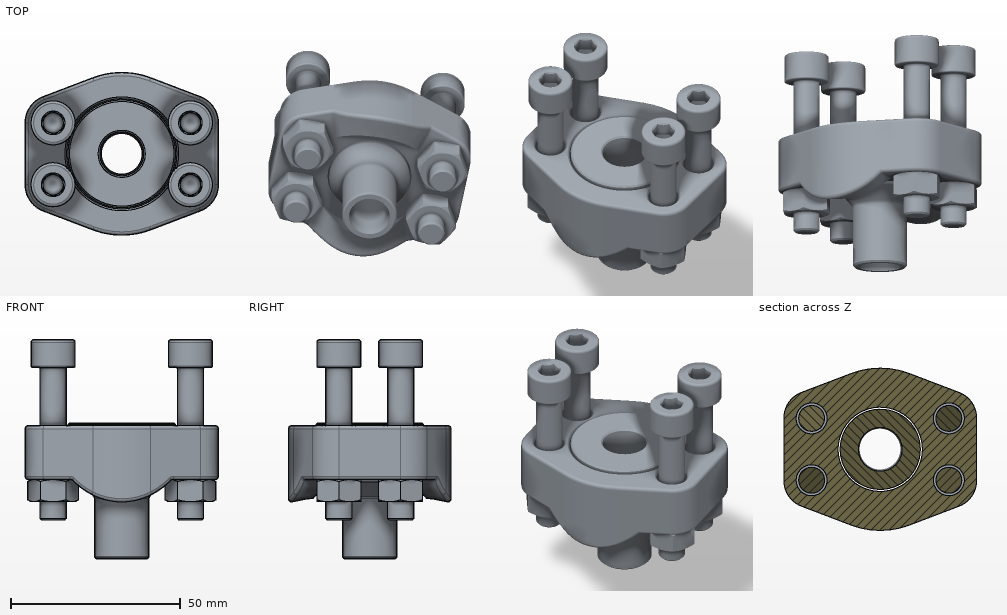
import cadquery as cq
import math

OVERALL_HEIGHT = 64.6
SCREW_TOP = 25.3

FLANGE_LENGTH = 57.0
FLANGE_WIDTH = 47.95
SCREW_X = 20.2
SCREW_Y = 9.1
CENTRE_ARC_RADIUS = FLANGE_WIDTH / 2
CORNER_RADIUS = FLANGE_LENGTH / 2 - SCREW_X

FLANGE_THICKNESS = 15.9
LOBE_RADIUS = 21.9
LOBE_DRAFT = 10.0
LOBE_AXIS_Z = -0.8
FLANGE_EDGE_FILLET = 1.0
RECESS_DIAMETER = 32.5
RECESS_DEPTH = 5.5
RECESS_CHAMFER = 0.5
RELIEF_DIAMETER = 33.6
FLANGE_BORE = 24.7
SCREW_HOLE = 9.0
SCREW_HOLE_CHAMFER = 0.5

HEAD_DIAMETER = 31.7
HEAD_CHAMFER = 0.45
INSERT_PROTRUSION = 0.8
HUB_DIAMETER = 23.8
HUB_LENGTH_BELOW_FLANGE = 0.65
CONE_HEIGHT = 4.65
PIPE_DIAMETER = 16.0
PIPE_CHAMFER = 0.5
CONE_FILLET = 1.0
PIPE_BORE = 12.0
MOUTH_BORE = 13.0
MOUTH_DEPTH = 3.9
MOUTH_CHAMFER = 0.45

SCREW_HEAD_DIAMETER = 13.0
SCREW_HEAD_HEIGHT = 8.15
SCREW_HEAD_FILLET = 0.8
SHANK_DIAMETER = 7.75
SHANK_LENGTH = 45.0
SHANK_END_CHAMFER = 0.5
SHANK_ROOT_FILLET = 0.4
SOCKET_ACROSS_FLATS = 6.0
SOCKET_DEPTH = 4.0
SOCKET_TURN = 5.0
SOCKET_CONE_ANGLE = 30.0

NUT_ACROSS_FLATS = 13.0
NUT_HEIGHT = 6.5
NUT_CHAMFER_ANGLE = 30.0

FLANGE_BOTTOM = -FLANGE_THICKNESS
SCREW_PLACES = [(sx * SCREW_X, sy * SCREW_Y) for sx in (-1, 1) for sy in (-1, 1)]


def corner_diameter(across_flats):
    return across_flats / math.cos(math.radians(30))


def cylinder(diameter, z_low, z_high):
    return cq.Workplane("XY").workplane(offset=z_low).circle(diameter / 2).extrude(z_high - z_low)


def cone(diameter_low, diameter_high, z_low, z_high):
    """A cone frustum on the Z axis."""
    frustum = cq.Solid.makeCone(
        diameter_low / 2, diameter_high / 2, z_high - z_low, pnt=cq.Vector(0, 0, z_low)
    )
    return cq.Workplane(frustum)


def flange_outline():
    """Outline in the XY plane, with every straight edge tangent to its neighbouring arcs."""
    slope = math.atan2(SCREW_X, SCREW_Y) - math.acos(
        (CENTRE_ARC_RADIUS - CORNER_RADIUS) / math.hypot(SCREW_X, SCREW_Y)
    )
    mid = (slope + math.pi / 2) / 2

    def on_corner(angle, sx, sy):
        x = SCREW_X + CORNER_RADIUS * math.sin(angle)
        y = SCREW_Y + CORNER_RADIUS * math.cos(angle)
        return (sx * x, sy * y)

    arc_x = CENTRE_ARC_RADIUS * math.sin(slope)
    arc_y = CENTRE_ARC_RADIUS * math.cos(slope)
    side_angle = math.pi / 2
    return (
        cq.Workplane("XY")
        .moveTo(-arc_x, arc_y)
        .threePointArc((0, CENTRE_ARC_RADIUS), (arc_x, arc_y))
        .lineTo(*on_corner(slope, 1, 1))
        .threePointArc(on_corner(mid, 1, 1), on_corner(side_angle, 1, 1))
        .lineTo(*on_corner(side_angle, 1, -1))
        .threePointArc(on_corner(mid, 1, -1), on_corner(slope, 1, -1))
        .lineTo(arc_x, -arc_y)
        .threePointArc((0, -CENTRE_ARC_RADIUS), (-arc_x, -arc_y))
        .lineTo(*on_corner(slope, -1, -1))
        .threePointArc(on_corner(mid, -1, -1), on_corner(side_angle, -1, -1))
        .lineTo(*on_corner(side_angle, -1, 1))
        .threePointArc(on_corner(mid, -1, 1), on_corner(slope, -1, 1))
        .close()
    )


def flange_blank():
    """The outlined plate with the rounded lobe that hangs below its middle."""
    lobe_drop = LOBE_RADIUS - LOBE_AXIS_Z
    prism = flange_outline().extrude(-lobe_drop)
    plate = cq.Workplane("XY").box(
        FLANGE_LENGTH, FLANGE_WIDTH, FLANGE_THICKNESS, centered=(True, True, False)
    ).translate((0, 0, FLANGE_BOTTOM))
    middle_radius = LOBE_RADIUS - FLANGE_WIDTH / 2 * math.tan(math.radians(LOBE_DRAFT))
    axis_point = cq.Vector(0, 0, LOBE_AXIS_Z)
    lobe = cq.Workplane("XY")
    for direction in (-1, 1):
        half_lobe = cq.Solid.makeCone(
            middle_radius, LOBE_RADIUS, FLANGE_WIDTH / 2, pnt=axis_point, dir=cq.Vector(0, direction, 0)
        )
        lobe = lobe.add(half_lobe)
    lobe = lobe.combine()
    blank = prism.intersect(plate.union(lobe))
    return blank.faces(">Z or <Z or #Z").edges("not |Z").fillet(FLANGE_EDGE_FILLET)


def make_flange():
    lobe_bottom = LOBE_AXIS_Z - LOBE_RADIUS
    rim_diameter = RECESS_DIAMETER + 2 * RECESS_CHAMFER
    body = flange_blank()
    body = body.cut(cylinder(RECESS_DIAMETER, -RECESS_DEPTH, 0))
    body = body.cut(cone(RECESS_DIAMETER, rim_diameter, -RECESS_CHAMFER, 0))
    body = body.cut(cylinder(FLANGE_BORE, FLANGE_BOTTOM, 0))
    body = body.cut(cylinder(RELIEF_DIAMETER, lobe_bottom, FLANGE_BOTTOM))
    hole_rim = SCREW_HOLE + 2 * SCREW_HOLE_CHAMFER
    for x, y in SCREW_PLACES:
        body = body.cut(cylinder(SCREW_HOLE, FLANGE_BOTTOM, 0).translate((x, y, 0)))
        body = body.cut(cone(SCREW_HOLE, hole_rim, -SCREW_HOLE_CHAMFER, 0).translate((x, y, 0)))
    return body


def make_insert():
    top = INSERT_PROTRUSION
    bottom = SCREW_TOP - OVERALL_HEIGHT
    hub_bottom = FLANGE_BOTTOM - HUB_LENGTH_BELOW_FLANGE
    body = cylinder(HEAD_DIAMETER, -RECESS_DEPTH, top).faces(">Z").chamfer(HEAD_CHAMFER)
    body = body.union(cylinder(HUB_DIAMETER, hub_bottom, -RECESS_DEPTH))
    shank = cylinder(PIPE_DIAMETER, bottom, hub_bottom).faces("<Z").chamfer(PIPE_CHAMFER)
    body = body.union(shank)
    body = body.union(cone(PIPE_DIAMETER, HUB_DIAMETER, hub_bottom - CONE_HEIGHT, hub_bottom))
    cone_foot = (0, 0, hub_bottom - CONE_HEIGHT)
    body = body.edges(cq.selectors.NearestToPointSelector(cone_foot)).fillet(CONE_FILLET)
    mouth_bottom = top - MOUTH_DEPTH
    taper_bottom = hub_bottom - CONE_HEIGHT
    body = body.cut(cylinder(PIPE_BORE, bottom, top))
    body = body.cut(cylinder(MOUTH_BORE, mouth_bottom, top))
    body = body.cut(cone(PIPE_BORE, MOUTH_BORE, taper_bottom, mouth_bottom))
    return body.cut(cone(MOUTH_BORE, MOUTH_BORE + 2 * MOUTH_CHAMFER, top - MOUTH_CHAMFER, top))


def hexagon(across_flats, z_low, z_high):
    return (
        cq.Workplane("XY")
        .workplane(offset=z_low)
        .polygon(6, corner_diameter(across_flats))
        .extrude(z_high - z_low)
    )


def make_screw():
    head_bottom = SCREW_TOP - SCREW_HEAD_HEIGHT
    shank_bottom = head_bottom - SHANK_LENGTH
    head = cylinder(SCREW_HEAD_DIAMETER, head_bottom, SCREW_TOP).faces(">Z").edges().fillet(SCREW_HEAD_FILLET)
    shank = cylinder(SHANK_DIAMETER, shank_bottom, head_bottom).faces("<Z").chamfer(SHANK_END_CHAMFER)
    screw = head.union(shank)
    root = cq.selectors.BoxSelector((-5.2, -5.2, head_bottom - 0.05), (5.2, 5.2, head_bottom + 0.05))
    screw = screw.edges(root).fillet(SHANK_ROOT_FILLET)

    socket_bottom = SCREW_TOP - SOCKET_DEPTH
    corners = corner_diameter(SOCKET_ACROSS_FLATS)
    mouth_depth = (corners - SOCKET_ACROSS_FLATS) / 2
    floor_depth = SOCKET_ACROSS_FLATS / 2 * math.tan(math.radians(SOCKET_CONE_ANGLE))
    socket = hexagon(SOCKET_ACROSS_FLATS, socket_bottom, SCREW_TOP)
    socket = socket.rotate((0, 0, 0), (0, 0, 1), SOCKET_TURN + 30)
    screw = screw.cut(socket)
    screw = screw.cut(cone(SOCKET_ACROSS_FLATS, corners, SCREW_TOP - mouth_depth, SCREW_TOP))
    return screw.cut(cone(0, SOCKET_ACROSS_FLATS, socket_bottom - floor_depth, socket_bottom))


def make_nut():
    top = FLANGE_BOTTOM
    bottom = FLANGE_BOTTOM - NUT_HEIGHT
    corners = corner_diameter(NUT_ACROSS_FLATS)
    drop = (corners - NUT_ACROSS_FLATS) / 2 * math.tan(math.radians(NUT_CHAMFER_ANGLE))
    envelope = cylinder(corners, bottom + drop, top - drop)
    envelope = envelope.union(cone(NUT_ACROSS_FLATS, corners, bottom, bottom + drop))
    envelope = envelope.union(cone(corners, NUT_ACROSS_FLATS, top - drop, top))
    nut = hexagon(NUT_ACROSS_FLATS, bottom, top).intersect(envelope)
    return nut.cut(cylinder(SHANK_DIAMETER, bottom, top))


flange = make_flange()
insert = make_insert()
screws = [make_screw().translate((x, y, 0)).val() for x, y in SCREW_PLACES]
nuts = [make_nut().translate((x, y, 0)).val() for x, y in SCREW_PLACES]

result = cq.Compound.makeCompound([flange.val(), insert.val(), *screws, *nuts])